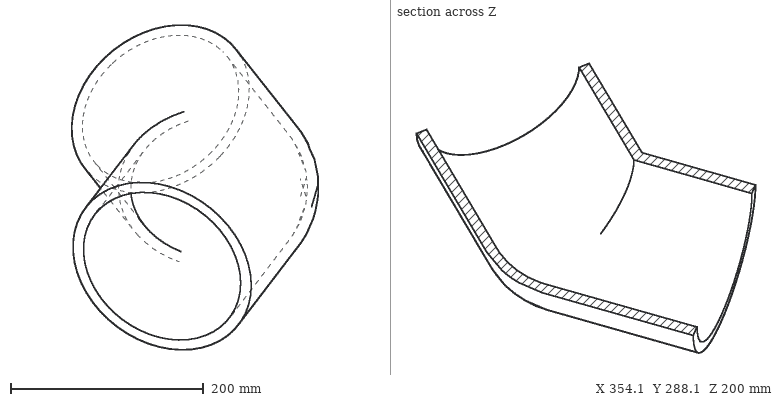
import cadquery as cq
import math

outer_diameter = 200.0
wall_thickness = 11.9
leg_length = 166.0
bend_angle = 45.0

outer_radius = outer_diameter / 2
inner_radius = outer_radius - wall_thickness

bend_centre = (0, 0, 0)
inlet_direction = cq.Vector(-1, 0, 0)
outlet_direction = cq.Vector(
    math.cos(math.radians(bend_angle)),
    -math.sin(math.radians(bend_angle)),
    0,
)


def leg(radius, direction):
    """Solid cylinder from the bend centre to one open end."""
    section_plane = cq.Plane(origin=bend_centre, normal=direction)
    return cq.Workplane(section_plane).circle(radius).extrude(leg_length)


def bent_rod(radius):
    """Two legs of one radius, with a ball filling the outside of the corner."""
    corner = cq.Workplane("XY", origin=bend_centre).sphere(radius)
    return leg(radius, inlet_direction).union(leg(radius, outlet_direction)).union(corner)


result = bent_rod(outer_radius).cut(bent_rod(inner_radius))